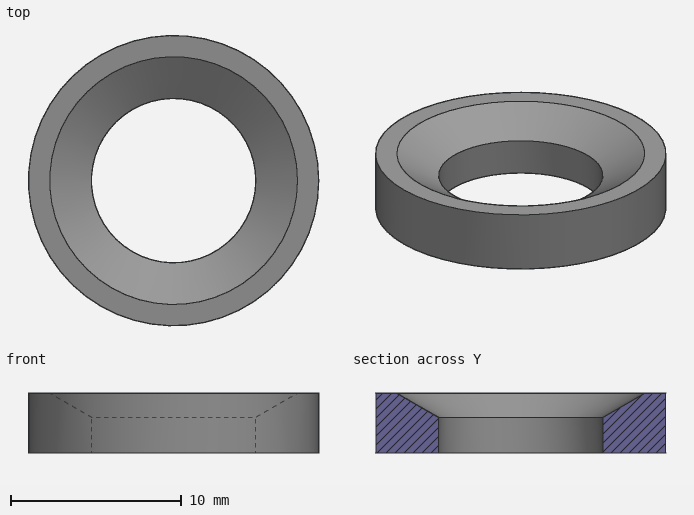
import cadquery as cq
import math

outer_diameter = 17.0
height = 3.5
bore_diameter = 9.6
seat_diameter = 14.5
seat_included_angle = 120.0

outer_radius = outer_diameter / 2
bore_radius = bore_diameter / 2
seat_radius = seat_diameter / 2
seat_depth = (seat_radius - bore_radius) / math.tan(math.radians(seat_included_angle / 2))

section = (
    cq.Workplane("XZ")
    .moveTo(bore_radius, 0)
    .lineTo(outer_radius, 0)
    .lineTo(outer_radius, height)
    .lineTo(seat_radius, height)
    .lineTo(bore_radius, height - seat_depth)
    .close()
)
result = section.revolve(360, (0, 0, 0), (0, 1, 0))